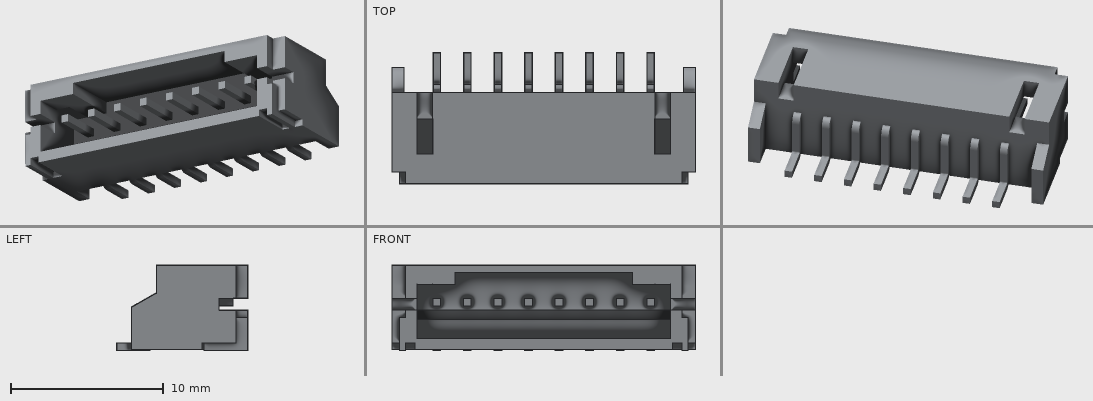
import cadquery as cq

LENGTH = 19.9
HALF_LENGTH = LENGTH / 2
HEIGHT = 5.6
STANDOFF = 0.06
BODY_DEPTH = 6.0
OVERLAP = 0.5

CORNER_WIDTH = 0.9
CORNER_DEPTH = 0.78

SIDE_WALL = 1.65
CAVITY_HALF = HALF_LENGTH - SIDE_WALL
CAVITY_FLOOR = 0.78
CAVITY_CEILING = 4.33
CAVITY_DEPTH = 4.25
KEY_HALF = 5.8
KEY_CEILING = 5.1

UNDERCUT_TOP_FRONT = 2.65
UNDERCUT_TOP_REAR = 2.04
UNDERCUT_DEPTH = CAVITY_DEPTH + UNDERCUT_TOP_FRONT - UNDERCUT_TOP_REAR

GROOVE_BOTTOM = 2.65
GROOVE_TOP = 3.42
GROOVE_DEPTH = 1.88

SLOT_WIDTH = 1.03
SLOT_FRONT = 1.97

ARM_WIDTH = 0.8
ARM_REAR = 7.63
ARM_REAR_TOP = 2.85
ARM_ROOT_TOP = 3.78

TAB_OUTER_INSET = 0.5
TAB_THICKNESS = CORNER_WIDTH - TAB_OUTER_INSET
TAB_HEIGHT = 2.15
TAB_FOOT_HEIGHT = 0.48
TAB_FOOT_LENGTH = 2.88
NOTCH_WIDTH = 1.52
NOTCH_DEPTH = 3.0

PIN_COUNT = 8
PITCH = 2.0
PIN_SIZE = 0.5
PIN_TIP = 0.96
PIN_TOP = GROOVE_TOP
PIN_REAR = 8.6
BEND_INNER = 0.1
BEND_OUTER = BEND_INNER + PIN_SIZE
LEG_FRONT = BODY_DEPTH
LEG_REAR = LEG_FRONT + PIN_SIZE


def box(x0, x1, y0, y1, z0, z1):
    """Axis-aligned block between opposite corners."""
    return cq.Workplane("XY").box(x1 - x0, y1 - y0, z1 - z0, centered=False).translate((x0, y0, z0))


def side_prism(points, x0, x1):
    """Prism along X from an outline of (y, z) points."""
    return cq.Workplane("YZ").polyline(points).close().extrude(x1 - x0).translate((x0, 0, 0))


def both_ends(shape):
    """The shape together with its mirror image in the plane of symmetry."""
    return shape.union(shape.mirror("YZ"))


def cavity():
    lower = box(-CAVITY_HALF, CAVITY_HALF, -OVERLAP, CAVITY_DEPTH, CAVITY_FLOOR, CAVITY_CEILING)
    key = box(-KEY_HALF, KEY_HALF, -OVERLAP, CAVITY_DEPTH, CAVITY_FLOOR, KEY_CEILING)
    undercut_outline = [
        (0, CAVITY_FLOOR),
        (UNDERCUT_DEPTH, CAVITY_FLOOR),
        (UNDERCUT_DEPTH, UNDERCUT_TOP_REAR),
        (CAVITY_DEPTH, UNDERCUT_TOP_FRONT),
        (0, UNDERCUT_TOP_FRONT),
    ]
    return lower.union(key).union(side_prism(undercut_outline, -CAVITY_HALF, CAVITY_HALF))


def end_cutters():
    """Cutters for the -X end: corner relief, latch groove, roof slot and tab notch."""
    end = -HALF_LENGTH
    outside = end - OVERLAP
    above = HEIGHT + OVERLAP
    behind = BODY_DEPTH + OVERLAP
    relief = box(outside, end + CORNER_WIDTH, -OVERLAP, CORNER_DEPTH, 0, above)
    groove = box(outside, end + SIDE_WALL, -OVERLAP, GROOVE_DEPTH, GROOVE_BOTTOM, GROOVE_TOP)
    slot_outer = end + SIDE_WALL
    slot = box(slot_outer, slot_outer + SLOT_WIDTH, SLOT_FRONT, behind, CAVITY_CEILING, above)
    notch = box(outside, end + NOTCH_WIDTH, -OVERLAP, NOTCH_DEPTH, 0, TAB_FOOT_HEIGHT)
    return relief.union(groove).union(slot).union(notch)


def rear_arm():
    outline = [
        (BODY_DEPTH - OVERLAP, STANDOFF),
        (ARM_REAR, STANDOFF),
        (ARM_REAR, ARM_REAR_TOP),
        (BODY_DEPTH, ARM_ROOT_TOP),
        (BODY_DEPTH - OVERLAP, ARM_ROOT_TOP),
    ]
    return side_prism(outline, -HALF_LENGTH, -HALF_LENGTH + ARM_WIDTH)


def housing():
    body = box(-HALF_LENGTH, HALF_LENGTH, 0, BODY_DEPTH, STANDOFF, HEIGHT)
    body = body.cut(cavity()).cut(both_ends(end_cutters()))
    return body.union(both_ends(rear_arm()))


def solder_tab():
    """L-shaped tab: an upright in the corner relief and a foot in the notch."""
    x0 = -HALF_LENGTH + TAB_OUTER_INSET
    x1 = x0 + TAB_THICKNESS
    upright = box(x0, x1, 0, CORNER_DEPTH, 0, TAB_HEIGHT)
    foot = box(x0, x1, 0, TAB_FOOT_LENGTH, 0, TAB_FOOT_HEIGHT)
    return upright.union(foot)


def contact(x_centre):
    """Mating blade, upright leg and solder foot formed from one strip with two right-angle bends."""
    blade_bottom = PIN_TOP - PIN_SIZE
    upper_y = LEG_FRONT - BEND_INNER
    upper_z = blade_bottom - BEND_INNER
    lower_y = LEG_REAR + BEND_INNER
    lower_z = PIN_SIZE + BEND_INNER
    profile = (
        cq.Workplane("YZ")
        .moveTo(PIN_TIP, blade_bottom)
        .lineTo(upper_y, blade_bottom)
        .radiusArc((LEG_FRONT, upper_z), BEND_INNER)
        .lineTo(LEG_FRONT, lower_z)
        .radiusArc((lower_y, 0), -BEND_OUTER)
        .lineTo(PIN_REAR, 0)
        .lineTo(PIN_REAR, PIN_SIZE)
        .lineTo(lower_y, PIN_SIZE)
        .radiusArc((LEG_REAR, lower_z), BEND_INNER)
        .lineTo(LEG_REAR, upper_z)
        .radiusArc((upper_y, PIN_TOP), -BEND_OUTER)
        .lineTo(PIN_TIP, PIN_TOP)
        .close()
    )
    return profile.extrude(PIN_SIZE).translate((x_centre - PIN_SIZE / 2, 0, 0))


result = housing().union(both_ends(solder_tab()))
first_pin_x = -(PIN_COUNT - 1) * PITCH / 2
for i in range(PIN_COUNT):
    result = result.union(contact(first_pin_x + i * PITCH))